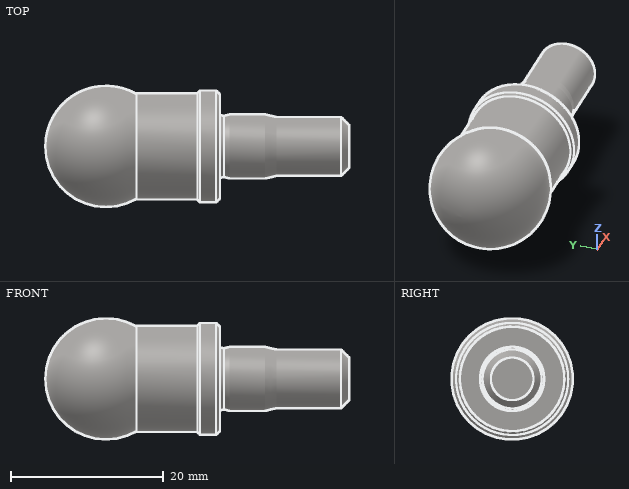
import cadquery as cq
import math

total_length = 40.0

ball_radius = 8.0
ball_end = 12.0
ball_seat_radius = math.sqrt(ball_radius**2 - (ball_end - ball_radius) ** 2)

head_radius = 7.0
head_end = 20.0

collar_radius = 14.75 / 2
collar_end = 23.0
front_chamfer = collar_radius - head_radius
back_chamfer = 0.5

relief_root_radius = 4.15
relief_radius = 4.05
relief_bottom = 23.5
relief_end = 24.3

shoulder_radius = 8.5 / 2
shoulder_end = 28.9
shank_radius = 7.75 / 2
taper_end = 30.45
tip_chamfer = 1.1


def revolve_about_x(profile):
    """Turn a closed half profile into a solid about the X axis."""
    return profile.revolve(360, (0, 0, 0), (1, 0, 0))


def make_ball():
    """Sphere with a flat seat facing the stud."""
    profile = (
        cq.Workplane("XY")
        .moveTo(0, 0)
        .threePointArc((ball_radius, ball_radius), (ball_end, ball_seat_radius))
        .lineTo(ball_end, 0)
        .close()
    )
    return revolve_about_x(profile)


def make_stud():
    """Cylindrical head, chamfered collar, relief groove, shoulder and chamfered shank."""
    outline = [
        (ball_end, 0),
        (ball_end, head_radius),
        (head_end, head_radius),
        (head_end + front_chamfer, collar_radius),
        (collar_end - back_chamfer, collar_radius),
        (collar_end, collar_radius - back_chamfer),
        (collar_end, relief_root_radius),
        (relief_bottom, relief_radius),
        (relief_end, shoulder_radius),
        (shoulder_end, shoulder_radius),
        (taper_end, shank_radius),
        (total_length - tip_chamfer, shank_radius),
        (total_length, shank_radius - tip_chamfer),
        (total_length, 0),
    ]
    return revolve_about_x(cq.Workplane("XY").polyline(outline).close())


ball = make_ball()
stud = make_stud()

result = cq.Compound.makeCompound([ball.val(), stud.val()])